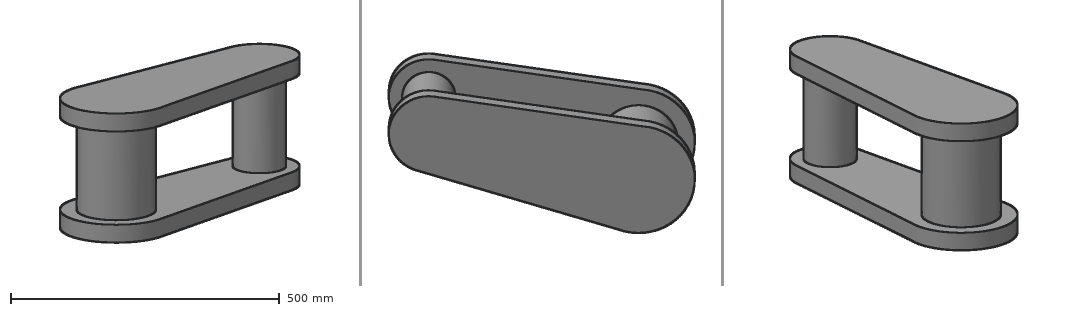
import cadquery as cq
import math

length = 580.0
height = 250.0
plate_thickness = 35.0

large_end_radius = 105.0
small_end_radius = 75.0
large_pin_diameter = 148.0
small_pin_diameter = 100.0

centre_distance = length - large_end_radius - small_end_radius
pin_length = height - 2 * plate_thickness


def tapered_plate(bottom_z):
    """Small half-round end whose straight sides run from its diameter to where they meet the large end."""
    side_slope = math.atan2(large_end_radius - small_end_radius, centre_distance)
    meeting_angle = 2 * side_slope
    large_x = large_end_radius * math.cos(meeting_angle)
    large_y = large_end_radius * math.sin(meeting_angle)
    return (
        cq.Workplane("XY", origin=(0, 0, bottom_z))
        .moveTo(large_x, large_y)
        .lineTo(small_end_radius, centre_distance)
        .threePointArc((0, centre_distance + small_end_radius), (-small_end_radius, centre_distance))
        .lineTo(-large_x, large_y)
        .threePointArc((0, -large_end_radius), (large_x, large_y))
        .close()
        .extrude(plate_thickness)
    )


def pin(diameter, centre_y):
    """Round pin filling the gap between the two plates."""
    return (
        cq.Workplane("XY", origin=(0, centre_y, plate_thickness))
        .circle(diameter / 2)
        .extrude(pin_length)
    )


result = (
    tapered_plate(0)
    .union(pin(large_pin_diameter, 0))
    .union(pin(small_pin_diameter, centre_distance))
    .union(tapered_plate(height - plate_thickness))
)